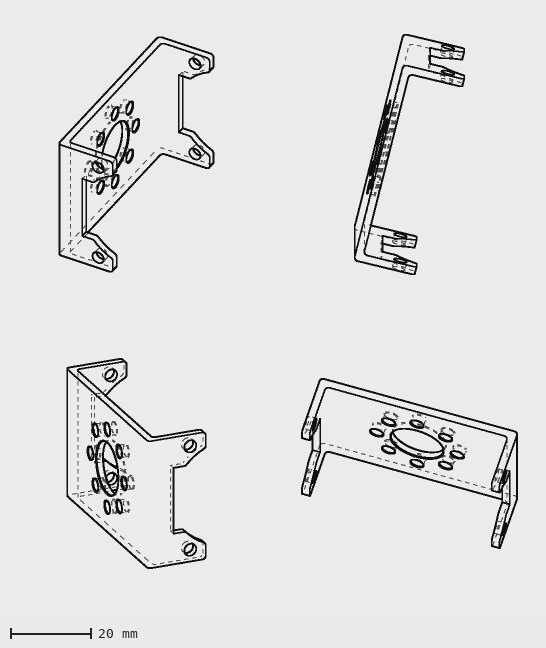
import cadquery as cq

depth = 15.7
width = 51.6
height = 34.4
thickness = 2.0
bend_radius = 1.0

notch_start = 6.9
notch_height = 17.8
ledge_end = 10.15
ear_tip_height = 4.3
ear_curve_radius = 14.45
ear_corner_radius = 1.0
ear_root_radius = 1.0
ear_hole_diameter = 3.2
ear_hole_x = 11.45
ear_hole_inset = 3.2

bore_diameter = 13.65
ring_hole_diameter = 3.2
ring_diameter = 21.05
ring_hole_count = 8
hole_chamfer = 0.2


def channel():
    """U-shaped channel with rounded bends, centred on Y and Z."""
    outer = cq.Workplane("XY").box(depth, width, height, centered=(False, True, True))
    outer = outer.edges("|Z and <X").fillet(bend_radius)
    cavity = (
        cq.Workplane("XY")
        .box(depth, width - 2 * thickness, height, centered=(False, True, True))
        .edges("|Z and <X")
        .fillet(bend_radius)
        .translate((thickness, 0, 0))
    )
    return outer.cut(cavity)


def flange_outline():
    """Prism across the full width whose section is the shape of one flange."""
    half_height = height / 2
    half_notch = notch_height / 2
    tip_z = half_height - ear_tip_height
    prism = (
        cq.Workplane("XZ")
        .moveTo(0, -half_height)
        .lineTo(depth, -half_height)
        .lineTo(depth, -tip_z)
        .radiusArc((ledge_end, -half_notch), ear_curve_radius)
        .lineTo(notch_start, -half_notch)
        .lineTo(notch_start, half_notch)
        .lineTo(ledge_end, half_notch)
        .radiusArc((depth, tip_z), ear_curve_radius)
        .lineTo(depth, half_height)
        .lineTo(0, half_height)
        .close()
        .extrude(width / 2, both=True)
    )
    prism = prism.edges("|Y and >X").fillet(ear_corner_radius)
    ledge_corners = cq.selectors.BoxSelector(
        (ledge_end - ear_root_radius, -width, -half_notch - ear_root_radius),
        (ledge_end + ear_root_radius, width, half_notch + ear_root_radius),
    )
    return prism.edges("|Y").edges(ledge_corners).fillet(ear_root_radius)


def ear_holes():
    """Cylinders along Y through the ears of both flanges."""
    hole_z = height / 2 - ear_hole_inset
    return (
        cq.Workplane("XZ")
        .pushPoints([(ear_hole_x, -hole_z), (ear_hole_x, hole_z)])
        .circle(ear_hole_diameter / 2)
        .extrude(width, both=True)
    )


def web_hole(diameter):
    """Cutter along X for a hole through the web, chamfered at both faces."""
    radius = diameter / 2
    rim_radius = radius + hole_chamfer
    section = [
        (0, 0),
        (0, rim_radius),
        (hole_chamfer, radius),
        (thickness - hole_chamfer, radius),
        (thickness, rim_radius),
        (thickness, 0),
    ]
    return cq.Workplane("XY").polyline(section).close().revolve(360, (0, 0, 0), (1, 0, 0))


result = channel().intersect(flange_outline()).cut(ear_holes())
result = result.cut(web_hole(bore_diameter))

ring_hole = web_hole(ring_hole_diameter).translate((0, ring_diameter / 2, 0))
for index in range(ring_hole_count):
    angle = index * 360 / ring_hole_count
    result = result.cut(ring_hole.rotate((0, 0, 0), (1, 0, 0), angle))